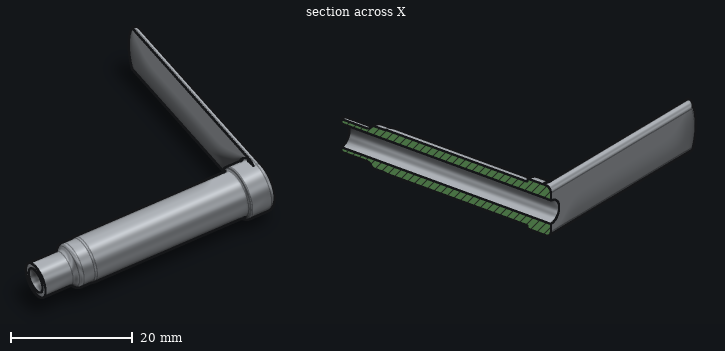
import cadquery as cq
import math

LENGTH_X = 43.95
LENGTH_Y = 43.7
WIDTH = 9.4
collar_radius = WIDTH / 2
axis_x = LENGTH_X - collar_radius

blade_thickness = 1.45
blade_edge_radius = 1.1
blade_end_rise = 1.05

collar_depth = 4.9
collar_edge_radius = 0.18
collar_blend = 0.2
tube_radius = 8.2 / 2
tube_depth = 34.35
step_radius = 8.0 / 2
step_start = 34.75
step_depth = 36.8
shoulder_mid_depth = 37.47
neck_blend_depth = 38.4
tip_radius = 6.2 / 2
bore_radius = 4.3 / 2

shoulder_drop = step_radius - tip_radius
shoulder_length = neck_blend_depth - step_depth
shoulder_sweep = 2 * math.atan(shoulder_drop / shoulder_length)
upper_share = (shoulder_mid_depth - step_depth) / shoulder_length
shoulder_mid_radius = step_radius - upper_share * shoulder_drop
upper_arc_radius = (shoulder_mid_depth - step_depth) / math.sin(shoulder_sweep)
lower_arc_radius = (neck_blend_depth - shoulder_mid_depth) / math.sin(shoulder_sweep)
half_sag = 1 - math.cos(shoulder_sweep / 2)
half_run = math.sin(shoulder_sweep / 2)

quarter_mid = 1 - math.sqrt(0.5)
blend_mid = quarter_mid * collar_blend
collar_edge_mid = quarter_mid * collar_edge_radius


def make_blade():
    """Flat bar with a bowed free end, a round hub end and a rounded back rim."""
    outline = (
        cq.Workplane("XZ")
        .moveTo(blade_end_rise, -collar_radius)
        .lineTo(axis_x, -collar_radius)
        .threePointArc((LENGTH_X, 0), (axis_x, collar_radius))
        .lineTo(blade_end_rise, collar_radius)
        .threePointArc((0, 0), (blade_end_rise, -collar_radius))
        .close()
    )
    return outline.extrude(blade_thickness).faces(">Y").edges().fillet(blade_edge_radius)


def make_tube():
    """Revolved collar, tube, step, S-shaped shoulder and tip, without the bore."""
    profile = (
        cq.Workplane("XY")
        .moveTo(0, -blade_edge_radius)
        .lineTo(collar_radius, -blade_edge_radius)
        .lineTo(collar_radius, -collar_depth + collar_edge_radius)
        .threePointArc(
            (collar_radius - collar_edge_mid, -collar_depth + collar_edge_mid),
            (collar_radius - collar_edge_radius, -collar_depth),
        )
        .lineTo(tube_radius + collar_blend, -collar_depth)
        .threePointArc(
            (tube_radius + blend_mid, -collar_depth - blend_mid),
            (tube_radius, -collar_depth - collar_blend),
        )
        .lineTo(tube_radius, -tube_depth)
        .lineTo(step_radius, -step_start)
        .lineTo(step_radius, -step_depth)
        .threePointArc(
            (step_radius - half_sag * upper_arc_radius, -step_depth - half_run * upper_arc_radius),
            (shoulder_mid_radius, -shoulder_mid_depth),
        )
        .threePointArc(
            (tip_radius + half_sag * lower_arc_radius, -neck_blend_depth + half_run * lower_arc_radius),
            (tip_radius, -neck_blend_depth),
        )
        .lineTo(tip_radius, -LENGTH_Y)
        .lineTo(0, -LENGTH_Y)
        .close()
    )
    return profile.revolve(360, (0, 0), (0, 1)).translate((axis_x, 0, 0))


def make_root_blend():
    """Concave ring joining the collar to the front face of the blade, cut to the blade width."""
    ring = (
        cq.Workplane("XY")
        .moveTo(collar_radius - collar_blend, -blade_thickness)
        .lineTo(collar_radius + collar_blend, -blade_thickness)
        .threePointArc(
            (collar_radius + blend_mid, -blade_thickness - blend_mid),
            (collar_radius, -blade_thickness - collar_blend),
        )
        .lineTo(collar_radius - collar_blend, -blade_thickness - collar_blend)
        .close()
        .revolve(360, (0, 0), (0, 1))
        .translate((axis_x, 0, 0))
    )
    blade_side = cq.Workplane("XY").box(axis_x, LENGTH_Y, WIDTH, centered=(False, True, True))
    return ring.intersect(blade_side)


def make_bore():
    """Through hole along the tube axis."""
    bore = cq.Workplane("XZ").center(axis_x, 0).circle(bore_radius)
    return bore.extrude(LENGTH_Y)


result = make_blade().union(make_tube()).union(make_root_blend()).cut(make_bore())